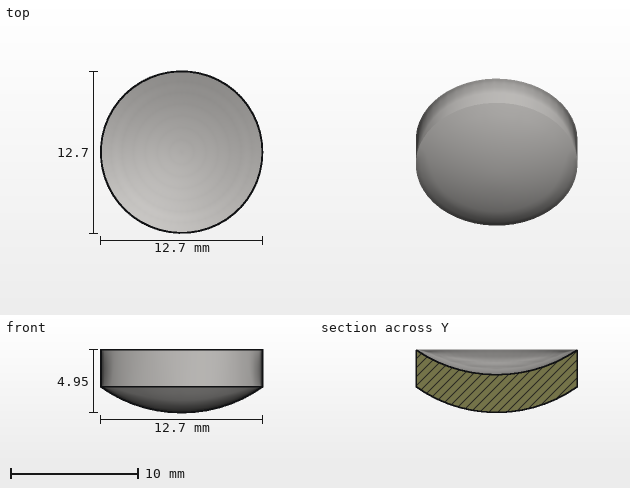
import cadquery as cq

diameter = 12.7
total_height = 4.95
dome_height = 2.03
dish_depth = 1.95

radius = diameter / 2
rim_height = total_height - dome_height


def arc_midpoint(edge_height, sag):
    """Point halfway along the arc from the lens axis out to the rim (x = radius, z = edge_height)."""
    sphere_radius = (radius**2 + sag**2) / (2 * sag)
    x = radius / 2
    drop = (sphere_radius**2 - x**2) ** 0.5 - (sphere_radius - sag)
    return (x, edge_height - drop)


section = (
    cq.Workplane("XZ")
    .moveTo(0, -dome_height)
    .threePointArc(arc_midpoint(0, dome_height), (radius, 0))
    .lineTo(radius, rim_height)
    .threePointArc(arc_midpoint(rim_height, dish_depth), (0, rim_height - dish_depth))
    .close()
)

result = section.revolve(360, (0, 0), (0, 1))